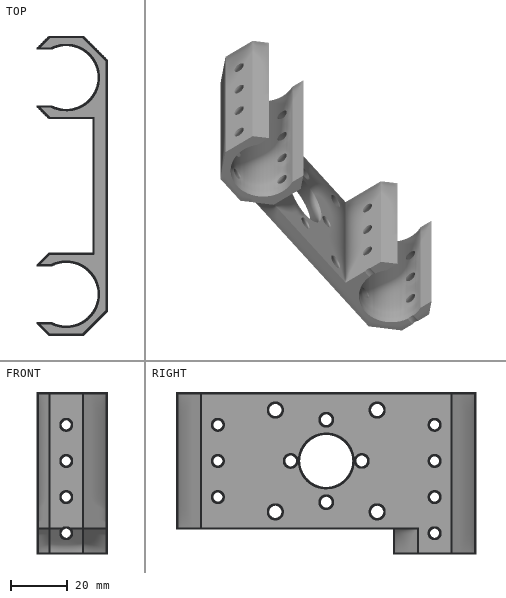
import cadquery as cq
import math

clamp_width = 28.575
octagon_cut = clamp_width * (1 - 1 / math.sqrt(2))
bore_diameter = 22.86
slot_width = 20.32
clamp_spacing = 76.2
short_clamp_height = 47.625
long_clamp_height = 56.356

plate_thickness = 4.7625
plate_height = short_clamp_height

hole_center_z = -plate_height / 2

screw_diameter = 4.0
screw_pitch = 12.7
screw_rows = 4
first_screw_z = hole_center_z + screw_pitch

center_hole_diameter = 19.05
corner_hole_diameter = 5.1
corner_hole_offset = 17.9
inner_hole_diameter = 4.6
inner_hole_offset_y = 12.5
inner_hole_offset_z = 14.5

bore_x = -clamp_width / 2
clamp_offset_y = clamp_spacing / 2
total_width = clamp_spacing + clamp_width


def make_clamp(center_y, height):
    """Octagonal block hanging down from Z = 0, with its bore and open slot."""
    block = (
        cq.Workplane("XY")
        .center(bore_x, center_y)
        .rect(clamp_width, clamp_width)
        .extrude(-height)
        .edges("|Z")
        .chamfer(octagon_cut)
    )
    bore = cq.Workplane("XY").center(bore_x, center_y).circle(bore_diameter / 2).extrude(-height)
    slot = (
        cq.Workplane("XY")
        .center(bore_x - clamp_width / 2, center_y)
        .rect(clamp_width, slot_width)
        .extrude(-height)
    )
    return block.cut(bore).cut(slot)


def make_plate():
    """Plate between the clamps, with wedge ends filling the clamps' inner back corners.

    The corners stay chamfered below the plate, where the long clamp hangs free.
    """
    gap = clamp_spacing - clamp_width
    inner_edge_y = gap / 2
    plate_end_y = inner_edge_y + octagon_cut
    outline = [
        (0, plate_end_y),
        (-octagon_cut, inner_edge_y),
        (-plate_thickness, inner_edge_y),
        (-plate_thickness, -inner_edge_y),
        (-octagon_cut, -inner_edge_y),
        (0, -plate_end_y),
    ]
    return cq.Workplane("XY").polyline(outline).close().extrude(-plate_height)


def hole_along_x(diameter, y, z):
    """Cylinder through the full depth of the part along X."""
    return cq.Workplane("YZ").center(y, z).circle(diameter / 2).extrude(-clamp_width)


def hole_along_y(diameter, x, z):
    """Cylinder through the full width of the part along Y."""
    return cq.Workplane("XZ").center(x, z).circle(diameter / 2).extrude(total_width / 2, both=True)


def cut_plate_holes(body):
    """Central opening, four corner holes and four inner holes around the opening."""
    body = body.cut(hole_along_x(center_hole_diameter, 0, hole_center_z))
    for side in (-1, 1):
        for level in (-1, 1):
            corner_z = hole_center_z + level * corner_hole_offset
            body = body.cut(hole_along_x(corner_hole_diameter, side * corner_hole_offset, corner_z))
        beside_y = side * inner_hole_offset_y
        body = body.cut(hole_along_x(inner_hole_diameter, beside_y, hole_center_z))
        inner_z = hole_center_z + side * inner_hole_offset_z
        body = body.cut(hole_along_x(inner_hole_diameter, 0, inner_z))
    return body


def cut_screw_holes(body):
    """Rows of screw holes through the clamp sides and backs.

    The lowest row belongs to the long clamp; its holes along Y graze the bottom of the short clamp.
    """
    for row in range(screw_rows):
        z = first_screw_z - row * screw_pitch
        body = body.cut(hole_along_y(screw_diameter, bore_x, z))
        body = body.cut(hole_along_x(screw_diameter, clamp_offset_y, z))
        if row < screw_rows - 1:
            body = body.cut(hole_along_x(screw_diameter, -clamp_offset_y, z))
    return body


long_clamp = make_clamp(clamp_offset_y, long_clamp_height)
short_clamp = make_clamp(-clamp_offset_y, short_clamp_height)

bracket = long_clamp.union(short_clamp).union(make_plate())
bracket = cut_plate_holes(bracket)
result = cut_screw_holes(bracket)